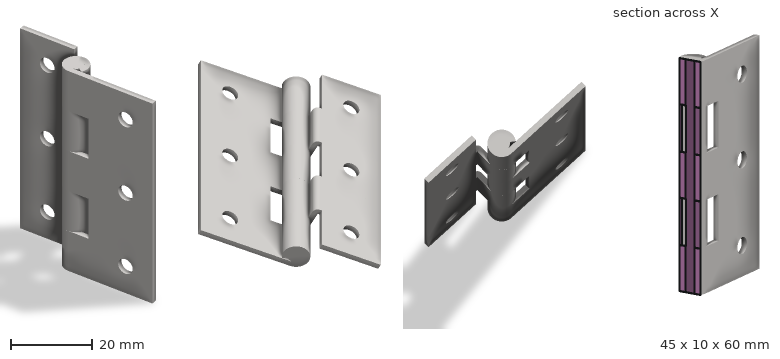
import cadquery as cq
import math


height = 60.0
width = 45.0
depth = 10.0
sheet = 1.5

bend_radius = 1.45
pin_diameter = 4.0
pin_radius = pin_diameter / 2
barrel_radius = pin_radius + sheet
knuckle_count = 5
knuckle_height = height / knuckle_count
curl_end_angle = 34.0

left_edge = -20.0
right_edge = left_edge + width
left_plate_width = 16.0
left_plate_end = left_edge + left_plate_width
slot_end = 6.05
left_back = depth - barrel_radius
left_front = left_back - sheet

hole_diameter = 4.3
left_hole_x = left_edge + left_plate_width / 2
right_hole_x = right_edge - left_plate_width / 2
hole_spacing = 22.0
hole_heights = [height / 2 + step * hole_spacing for step in (-1, 0, 1)]

right_knuckle_bases = [i * knuckle_height for i in range(0, knuckle_count, 2)]
left_knuckle_bases = [i * knuckle_height for i in range(1, knuckle_count, 2)]


def box(x_start, x_end, y_start, y_end, z_start, z_height):
    """Block between the given X and Y limits, rising from z_start."""
    return (
        cq.Workplane("XY")
        .box(x_end - x_start, y_end - y_start, z_height, centered=False)
        .translate((x_start, y_start, z_start))
    )


def polar(radius, angle):
    """Point at an angle in degrees around the pin axis."""
    return (radius * math.cos(math.radians(angle)), radius * math.sin(math.radians(angle)))


def make_curl(tail):
    """One knuckle: a sheet of length tail along +X that curls up clockwise around the pin."""
    start_angle = 270.0
    end_angle = -curl_end_angle
    middle_angle = (start_angle + end_angle) / 2
    return (
        cq.Workplane("XY")
        .moveTo(tail, -barrel_radius)
        .lineTo(0, -barrel_radius)
        .threePointArc(polar(barrel_radius, middle_angle), polar(barrel_radius, end_angle))
        .lineTo(*polar(pin_radius, end_angle))
        .threePointArc(polar(pin_radius, middle_angle), (0, -pin_radius))
        .lineTo(tail, -pin_radius)
        .close()
        .extrude(knuckle_height)
    )


def drill_holes(leaf, x):
    """Cut a column of screw holes through the leaf along Y."""
    centers = [(x, z) for z in hole_heights]
    drills = (
        cq.Workplane("XZ")
        .pushPoints(centers)
        .circle(hole_diameter / 2)
        .extrude(depth, both=True)
    )
    return leaf.cut(drills)


def make_right_leaf():
    """Flat leaf whose sheet runs straight into three curled knuckles."""
    leaf = box(slot_end, right_edge, -barrel_radius, -pin_radius, 0, height)
    curl = make_curl(slot_end)
    for base in right_knuckle_bases:
        leaf = leaf.union(curl.translate((0, 0, base)))
    return drill_holes(leaf, right_hole_x)


def make_bend(base):
    """Right-angle bend that carries the left plate toward the pin, rounded on the outside."""
    leg_inner = sheet - barrel_radius
    bend = box(left_plate_end, leg_inner, left_front, left_back, base, knuckle_height)
    return bend.edges("|Z and >X and >Y").fillet(bend_radius)


def make_left_leaf():
    """Flat leaf set behind the pin, with two bent tabs that curl into knuckles."""
    leaf = box(left_edge, left_plate_end, left_front, left_back, 0, height)
    curl = make_curl(left_front).mirror("XZ").rotate((0, 0, 0), (0, 0, 1), 90)
    for base in left_knuckle_bases:
        leaf = leaf.union(make_bend(base))
        leaf = leaf.union(curl.translate((0, 0, base)))
    return drill_holes(leaf, left_hole_x)


def make_pin():
    """Plain pin as long as the barrel."""
    return cq.Workplane("XY").circle(pin_radius).extrude(height)


right_leaf = make_right_leaf()
left_leaf = make_left_leaf()
pin = make_pin()

result = cq.Compound.makeCompound([right_leaf.val(), left_leaf.val(), pin.val()])